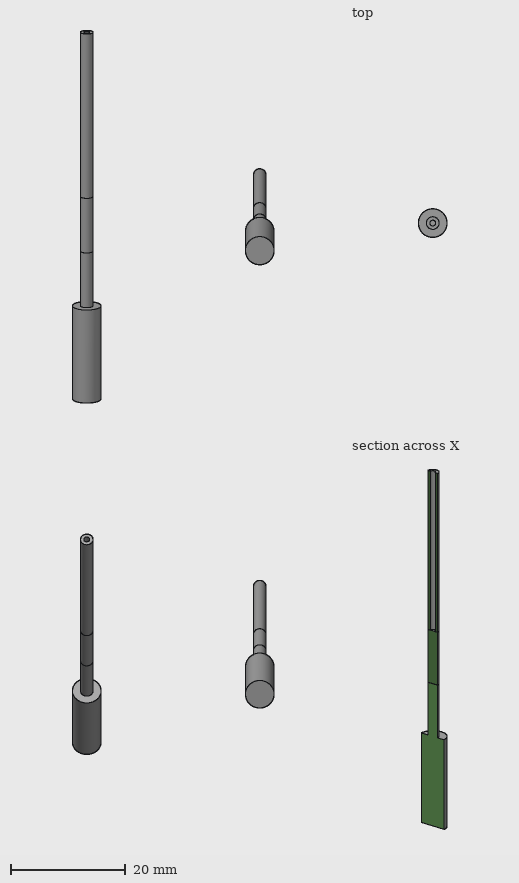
import cadquery as cq

total_length = 67.0
handle_diameter = 5.0
handle_length = 17.0
stem_diameter = 2.2
section_length = 10.0
bore_diameter = 1.0

rod_base = handle_length + section_length
tube_base = rod_base + section_length
tube_length = total_length - tube_base


def cylinder(diameter, length, base_height):
    """Upright cylinder centred on the Z axis."""
    return cq.Workplane("XY").workplane(offset=base_height).circle(diameter / 2).extrude(length)


def make_handle():
    """Thick grip with a thin stem rising from its top face."""
    grip = cylinder(handle_diameter, handle_length, 0)
    stem = cylinder(stem_diameter, section_length, handle_length)
    return grip.union(stem)


def make_middle_rod():
    """Solid rod that joins the stem to the tube and closes the tube's bore."""
    return cylinder(stem_diameter, section_length, rod_base)


def make_tube():
    """Long end tube, bored through along its whole length."""
    outside = cylinder(stem_diameter, tube_length, tube_base)
    bore = cylinder(bore_diameter, tube_length, tube_base)
    return outside.cut(bore)


handle = make_handle()
middle_rod = make_middle_rod()
tube = make_tube()

result = cq.Compound.makeCompound([handle.val(), middle_rod.val(), tube.val()])